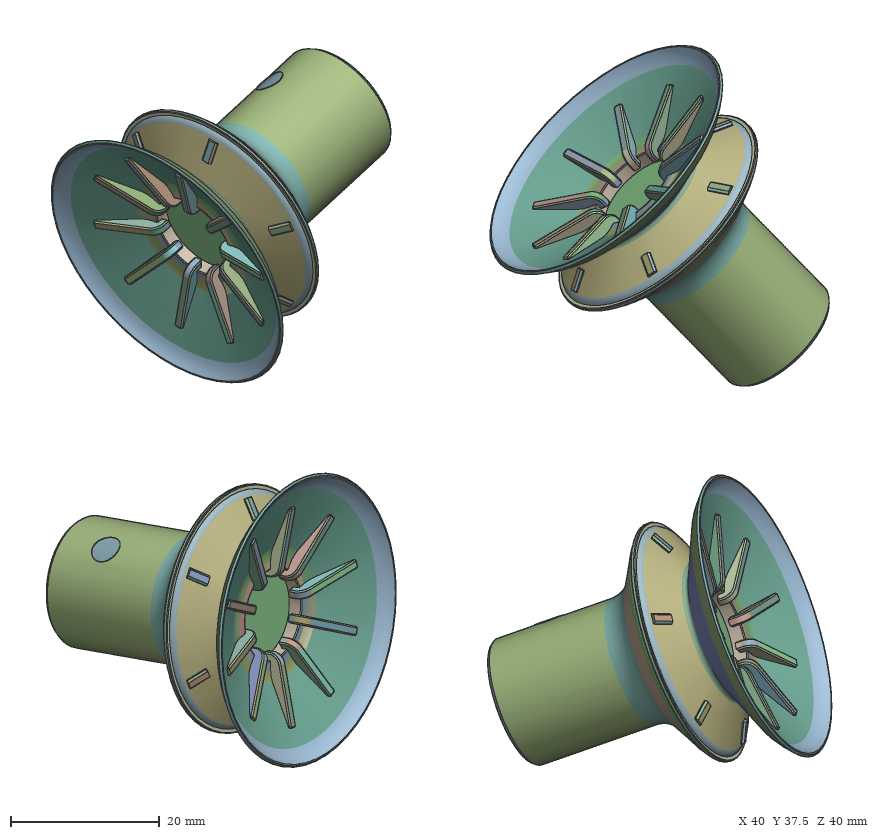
import cadquery as cq
import math

length = 37.5

shank_radius = 9.05
shank_start = 19.75
shank_end_chamfer_radial = 0.3
shank_end_chamfer_axial = 0.45

lip_radius = 20.0
lip_edge_inset = 0.25
lip_edge_height = 0.3
lip_bulge_radius = 18.0
lip_bulge_end = 2.1
lip_bulge_mid_radius = 19.15
lip_bulge_mid = 1.1
neck_radius = 9.8
neck_y = 7.05
neck_round_radius = 10.1
neck_round_half_width = 0.45
bellow_radius = 16.35
bellow_edge_radius = 15.7
bellow_start = 10.5
bellow_end = 12.7
bellow_bulge_mid_offset = 0.35
bellow_bulge_mid_radius = 16.15
shoulder_radius = 11.35
shoulder_y = 15.65
shoulder_mid_radius = 9.6
shoulder_mid_y = 17.6

flange_radius = 16.95
flange_thickness = 0.6
flange_chamfer = 0.1
flange_y = 11.5

mouth_radius = 19.55
mouth_mid_radius = 18.75
mouth_mid = 1.0
mouth_end_radius = 17.75
mouth_end = 1.7
ledge_start_radius = 9.3
ledge_start = 5.6
ledge_mid_radius = 8.45
ledge_mid = 5.85
ledge_end_radius = 7.5
ledge_y = 5.9
bore_radius = 6.3
bore_edge_chamfer = 0.15
floor_y = 7.95

inner_rib_count = 10
inner_rib_width = 1.3
inner_rib_chamfer = 0.2
inner_rib_outer_radius = 15.3
inner_rib_outer_y = 2.55
inner_rib_tip_radius = 5.25
inner_rib_tip_y = 4.65
inner_rib_tip_fillet = 1.85
inner_rib_end_y = 7.05
rib_embed = 0.5

outer_rib_count = 6
outer_rib_width = 1.5
outer_rib_height = 0.45
outer_rib_chamfer = 0.3
outer_rib_start_radius = 12.7
outer_rib_end_radius = 15.45

mark_radius = 2.1
mark_height = 0.1
mark_y = 29.6
mark_angle = 131


def wall_y(radius, start, end):
    """Y at a radius along the straight wall between two (radius, Y) points."""
    share = (radius - start[0]) / (end[0] - start[0])
    return start[1] + share * (end[1] - start[1])


def revolve_about_y(outline):
    return outline.close().revolve(360, (0, 0, 0), (0, 1, 0))


def make_cup():
    neck_start = neck_y - neck_round_half_width
    neck_end = neck_y + neck_round_half_width
    flange_start = flange_y - flange_thickness / 2
    flange_end = flange_y + flange_thickness / 2
    outline = (
        cq.Workplane("XY")
        .moveTo(0, floor_y)
        .lineTo(bore_radius, floor_y)
        .lineTo(bore_radius, ledge_y + bore_edge_chamfer)
        .lineTo(bore_radius + bore_edge_chamfer, ledge_y)
        .lineTo(ledge_end_radius, ledge_y)
        .threePointArc((ledge_mid_radius, ledge_mid), (ledge_start_radius, ledge_start))
        .lineTo(mouth_end_radius, mouth_end)
        .threePointArc((mouth_mid_radius, mouth_mid), (mouth_radius, 0))
        .lineTo(lip_radius - lip_edge_inset, 0)
        .lineTo(lip_radius, lip_edge_height)
        .threePointArc((lip_bulge_mid_radius, lip_bulge_mid), (lip_bulge_radius, lip_bulge_end))
        .lineTo(neck_round_radius, neck_start)
        .threePointArc((neck_radius, neck_y), (neck_round_radius, neck_end))
        .lineTo(bellow_edge_radius, bellow_start)
        .threePointArc(
            (bellow_bulge_mid_radius, bellow_start + bellow_bulge_mid_offset), (bellow_radius, flange_start)
        )
        .lineTo(flange_radius - flange_chamfer, flange_start)
        .lineTo(flange_radius, flange_start + flange_chamfer)
        .lineTo(flange_radius, flange_end - flange_chamfer)
        .lineTo(flange_radius - flange_chamfer, flange_end)
        .lineTo(bellow_radius, flange_end)
        .threePointArc(
            (bellow_bulge_mid_radius, bellow_end - bellow_bulge_mid_offset), (bellow_edge_radius, bellow_end)
        )
        .lineTo(shoulder_radius, shoulder_y)
        .threePointArc((shoulder_mid_radius, shoulder_mid_y), (shank_radius, shank_start))
        .lineTo(shank_radius, length - shank_end_chamfer_axial)
        .lineTo(shank_radius - shank_end_chamfer_radial, length)
        .lineTo(0, length)
    )
    return revolve_about_y(outline)


def add_ribs(body, rib, count, first_angle):
    for index in range(count):
        angle = first_angle + index * 360 / count
        body = body.union(rib.rotate((0, 0, 0), (0, 1, 0), angle))
    return body


def make_inner_rib():
    """Rib along +X whose foot sinks into the cone and the bore wall, clear of the floor."""
    cone = ((ledge_start_radius, ledge_start), (mouth_end_radius, mouth_end))
    return (
        cq.Workplane("XY")
        .moveTo(inner_rib_outer_radius, inner_rib_outer_y + inner_rib_chamfer)
        .lineTo(inner_rib_outer_radius - inner_rib_chamfer, inner_rib_outer_y)
        .lineTo(inner_rib_tip_radius, inner_rib_tip_y)
        .lineTo(inner_rib_tip_radius, inner_rib_end_y)
        .lineTo(ledge_end_radius, inner_rib_end_y)
        .lineTo(ledge_start_radius, ledge_start + rib_embed)
        .lineTo(inner_rib_outer_radius, wall_y(inner_rib_outer_radius, *cone) + rib_embed)
        .close()
        .extrude(inner_rib_width / 2, both=True)
        .edges(cq.selectors.NearestToPointSelector((inner_rib_tip_radius, inner_rib_tip_y, 0)))
        .fillet(inner_rib_tip_fillet)
        .faces("<Z or >Z").edges().chamfer(inner_rib_chamfer)
    )


def make_outer_rib():
    """Short rib along +X lying on the slope between the neck and the bellow."""
    slope = (
        (neck_round_radius, neck_y + neck_round_half_width),
        (bellow_edge_radius, bellow_start),
    )
    run = slope[1][0] - slope[0][0]
    rise = slope[1][1] - slope[0][1]
    tilt = math.degrees(math.atan2(rise, run))
    rib_length = (outer_rib_end_radius - outer_rib_start_radius) / math.cos(math.radians(tilt))
    middle = (outer_rib_start_radius + outer_rib_end_radius) / 2
    return (
        cq.Workplane("XY")
        .box(rib_length, 2 * outer_rib_height, outer_rib_width)
        .faces("<Y").edges("|X").chamfer(outer_rib_chamfer)
        .rotate((0, 0, 0), (0, 0, 1), tilt)
        .translate((middle, wall_y(middle, *slope), 0))
    )


def make_mark():
    """Disc wrapped on the shank, its centre at mark_angle from +X toward +Z."""
    plug = cq.Workplane("YZ").center(mark_y, 0).circle(mark_radius).extrude(lip_radius)
    skin = cq.Workplane("XZ", origin=(0, length, 0)).circle(shank_radius + mark_height).extrude(length)
    return plug.intersect(skin).rotate((0, 0, 0), (0, 1, 0), -mark_angle)


result = make_cup()
result = add_ribs(result, make_inner_rib(), inner_rib_count, 90)
result = add_ribs(result, make_outer_rib(), outer_rib_count, 90)
result = result.union(make_mark())